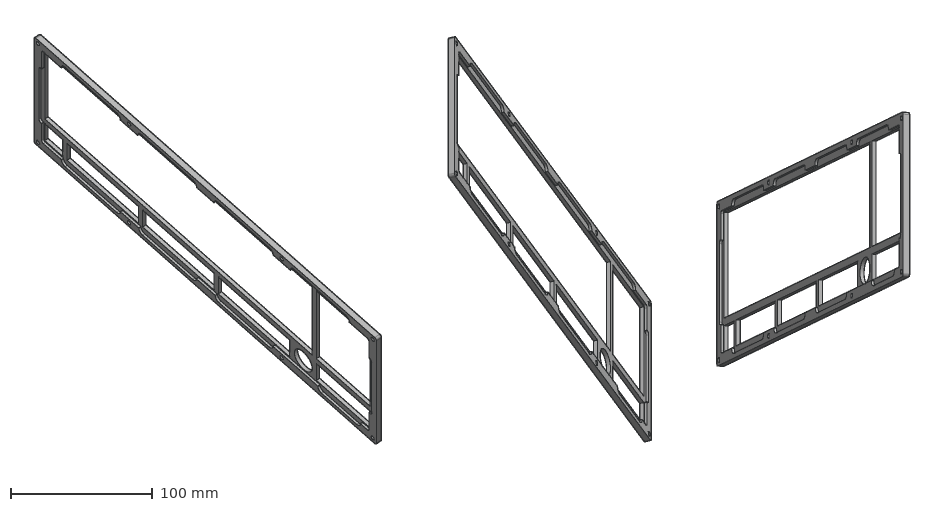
import cadquery as cq

length = 366.0
thickness = 5.0
height = 118.2
corner_radius = 2.0
back_chamfer = 0.55

rim_depth = 2.0
rim_width = 8.0
rim_corner_radius = 2.0
grid_margin = 9.0

shelf_bottom = 27.8
shelf_top = 33.3
upper_bar_width = 4.5
first_cell_right = 28.0
cell_left = 33.0
cell_width = 76.0
cell_pitch = 81.0
cell_count = 3
last_cell_left = 299.5

window_diameter = 19.0
window_x = 285.5

hole_diameter = 3.3
hole_depth = 3.5
hole_inset = 4.0

notch_pitch = 81.5
notch_length = 63.0
notch_inset = 3.5
notch_radius = 4.0
notch_count = 4
side_notch_length = 60.7
side_notch_inset = 5.0
side_notch_radius = 2.2
lower_notch_spans = ((29.3, 92.2), (112.0, 173.5), (193.5, 255.0), (303.5, 348.7))

left = -length / 2
bottom = -height / 2
front = -thickness / 2
back = thickness / 2
grid_front = front + rim_depth
right_margin = length - grid_margin
top_margin = height - grid_margin


def block(x_start, x_end, z_start, z_end, y_end):
    """Box from the front face back to y_end, placed from the frame's lower left corner."""
    size = (x_end - x_start, y_end - front, z_end - z_start)
    return cq.Workplane("XY").box(*size, centered=False).translate((left + x_start, front, bottom + z_start))


def opening(x_start, x_end, z_start, z_end):
    return block(x_start, x_end, z_start, z_end, back)


def recess(x_start, x_end, z_start, z_end, radius):
    """Round-cornered pocket from the front face down to the grid."""
    return block(x_start, x_end, z_start, z_end, grid_front).edges("|Y").fillet(radius)


def round_cut(x, z, diameter, depth):
    origin = (left + x, front, bottom + z)
    return cq.Workplane("XZ", origin=origin).circle(diameter / 2).extrude(-depth)


frame = cq.Workplane("XY").box(length, thickness, height)
frame = frame.edges("|Y").fillet(corner_radius)
frame = frame.faces(">Y").chamfer(back_chamfer)

frame = frame.cut(recess(rim_width, length - rim_width, rim_width, height - rim_width, rim_corner_radius))

frame = frame.cut(opening(grid_margin, last_cell_left - upper_bar_width, shelf_top, top_margin))
frame = frame.cut(opening(last_cell_left, right_margin, shelf_top, top_margin))

frame = frame.cut(opening(grid_margin, first_cell_right, grid_margin, shelf_bottom))
for i in range(cell_count):
    x = cell_left + i * cell_pitch
    frame = frame.cut(opening(x, x + cell_width, grid_margin, shelf_bottom))
frame = frame.cut(opening(last_cell_left, right_margin, grid_margin, shelf_bottom))

window_z = (grid_margin + shelf_bottom) / 2
frame = frame.cut(round_cut(window_x, window_z, window_diameter, thickness))

notch_reach = rim_width + notch_radius
first_notch_left = (length - notch_length - (notch_count - 1) * notch_pitch) / 2
for i in range(notch_count):
    x = first_notch_left + i * notch_pitch
    frame = frame.cut(recess(x, x + notch_length, height - notch_reach, height - notch_inset, notch_radius))
for x_start, x_end in lower_notch_spans:
    frame = frame.cut(recess(x_start, x_end, notch_inset, notch_reach, notch_radius))

side_reach = rim_width + side_notch_radius
side_z = (height - side_notch_length) / 2
for x_start, x_end in ((side_notch_inset, side_reach), (length - side_reach, length - side_notch_inset)):
    frame = frame.cut(recess(x_start, x_end, side_z, height - side_z, side_notch_radius))

for x in (hole_inset, length / 2 - notch_pitch, length / 2 + notch_pitch, length - hole_inset):
    for z in (hole_inset, height - hole_inset):
        frame = frame.cut(round_cut(x, z, hole_diameter, hole_depth))

result = frame